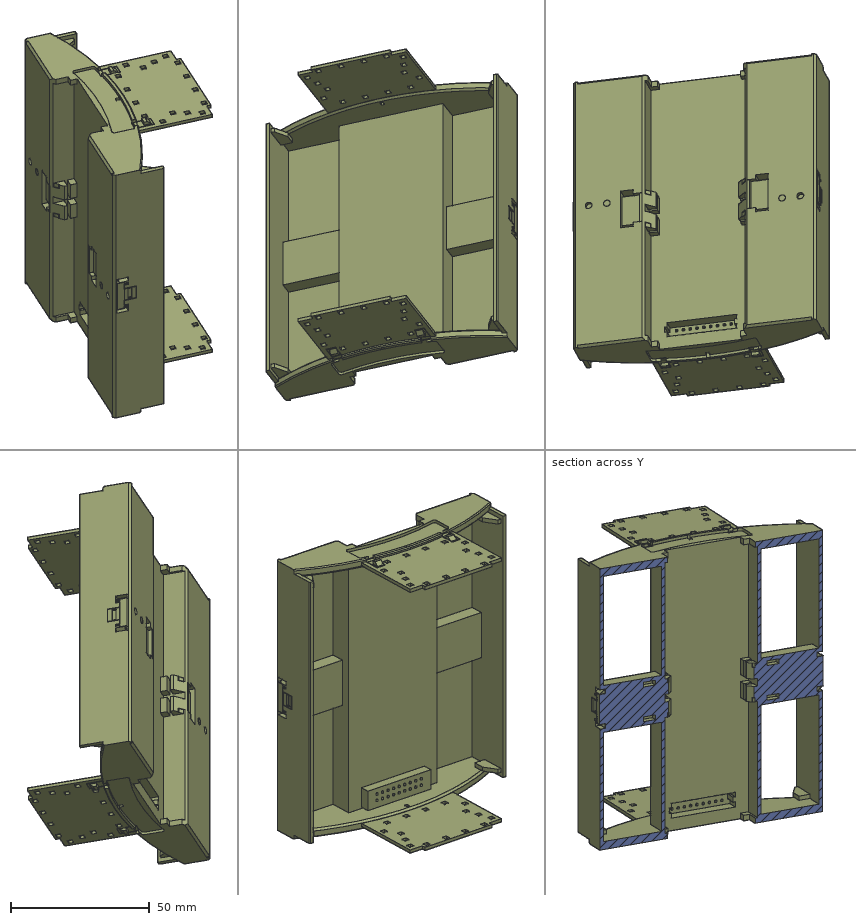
import cadquery as cq
import math


LENGTH = 107.6
HALF_LENGTH = LENGTH / 2
HALF_WIDTH = 45.2
WALL = 1.6
SIDE_WALL_TOP = 19.6
EDGE_BEVEL = 0.9
BACK_BEVEL = 0.3

CHANNEL_HALF = 18.6
CHANNEL_FLOOR = 9.0

END_WALL = 3.2
END_FLANGE = 2.2
SIDE_WALL_SETBACK = 1.6
FLANGE_HALF = 17.8
LIP_HALF = 15.4
LIP_BOTTOM = 6.5
ARC_RADIUS = 99.9
ARC_TOP = 21.3
ARC_CENTRE = ARC_TOP - ARC_RADIUS
ARC_OUTER_CHAMFER = 0.4
ARC_INNER_CHAMFER = 0.8

GUSSET_TOP = 18.3
GUSSET_TOP_WIDTH = 1.3
GUSSET_WIDTH = 4.5
GUSSET_THICKNESS = 1.6

BOARD_DEPTH = 1.1
BOARD_THICKNESS = 1.3
BOARD_HALF = 21.0
BOARD_TOP = 48.9
BOARD_SHOULDER = 47.2
SQUARE_HOLE = 1.8
ROW_PITCH = 8.8
HOLE_ROWS = (47.0, 24.1)
SIDE_HOLES = ((18.6, 44.3), (16.8, 39.3), (15.0, 34.3), (18.6, 29.0))

RECESS_HALF = 20.5
RECESS_TOP = 19.7
RECESS_BOTTOM = 11.3
RECESS_CORNER = 0.9
NOTCH_WIDTH = 1.2
NOTCH_HEIGHT = 1.6

TAB_INNER = 15.4
TAB_OUTER = 19.0
TAB_BOTTOM = 18.2
TAB_TOP = 25.6
TAB_RECESS = 0.2
BUMP_OUTER = 18.2
BUMP_TOP = 24.9
BUMP_CREST = 23.2
BUMP_BOTTOM = 22.1

LATCH_HALF = 7.4
SLIDER_HALF = 5.8
LATCH_BLOCK_HALF = 9.0
LATCH_BLOCK_HEIGHT = 7.0
JAW_INNER_Z = 1.4
JAW_TIP = 15.4
JAW_TIP_BOTTOM = 4.1
JAW_TOP = 5.3
JAW_STEP = 0.4
JAW_STEP_END = 17.0
POCKET_OUTER = 27.4
POCKET_STEP = 22.8
POCKET_INNER = 20.5
POCKET_DEPTH = 1.6
POCKET_SLOT_DEPTH = 4.3
SLIDER_FACE_DEPTH = 0.1

SLIDER_PROUD = 0.3
SLIDER_BOTTOM = 1.3
SLIDER_TOP = 4.1
PRONG_TOP = 5.7
PRONG_Z = 4.8
PRONG_THICKNESS = 0.6
SIDE_SLOT_DEPTH = 2.2
SIDE_RAMP_BOTTOM = 2.3
GRIP_HALF = 2.6
GRIP_TOP = 8.8
GRIP_DEPTH = 0.3
GRIP_CENTRE_HALF = 2.2
GRIP_CENTRE_TOP = 7.2
GRIP_CENTRE_DEPTH = 1.0

HOLE_DIAMETER = 2.5
HOLE_OUTER_X = 39.4
HOLE_INNER_X = 32.6
HOLE_Z = 3.2
HOLE_OUTER_DEPTH = 1.3
HOLE_INNER_DEPTH = 0.1

PIN_PITCH = 2.54
PIN_COLUMNS = 9
PIN_HOLE = 1.0
PIN_ROW_CENTRE = -45.9
SOCKET_LEFT = -12.6
SOCKET_RIGHT = 13.3
SOCKET_BOTTOM = -49.0
SOCKET_TOP = -43.4
SOCKET_DEPTH = 4.3
SOCKET_MARGIN = 1.1
KEY_BOTTOM = -47.0
KEY_TOP = -45.1
KEY_WIDTH = 0.9


def box(x0, x1, y0, y1, z0, z1):
    """Block between two opposite corners."""
    return cq.Workplane("XY").box(x1 - x0, y1 - y0, z1 - z0, centered=False).translate((x0, y0, z0))


def prism(points, z0, z1):
    """Polygon in X and Y, extruded from z0 to z1."""
    return cq.Workplane("XY").workplane(offset=z0).polyline(points).close().extrude(z1 - z0)


def arc_height(x, radius):
    """Y on a circle about the common centre of the end wall curves."""
    return ARC_CENTRE + math.sqrt(radius**2 - x**2)


def mirrored(points):
    """Outline points for the negative X half, followed by their mirror images."""
    return points + [(-x, y) for x, y in reversed(points)]


def both_sides(shape):
    return shape.union(shape.mirror("YZ"))


def both_ends(shape):
    return shape.union(shape.mirror("XY"))


def make_tray():
    """Bent sheet that forms the side walls, the front boxes and the rail channel; open at the back."""
    half = [
        (-HALF_WIDTH + WALL, SIDE_WALL_TOP),
        (-HALF_WIDTH + BACK_BEVEL, SIDE_WALL_TOP),
        (-HALF_WIDTH, SIDE_WALL_TOP - BACK_BEVEL),
        (-HALF_WIDTH, EDGE_BEVEL),
        (-HALF_WIDTH + EDGE_BEVEL, 0),
        (-CHANNEL_HALF - EDGE_BEVEL, 0),
        (-CHANNEL_HALF, EDGE_BEVEL),
        (-CHANNEL_HALF, CHANNEL_FLOOR),
    ]
    inner = [
        (CHANNEL_HALF + WALL, CHANNEL_FLOOR + WALL),
        (CHANNEL_HALF + WALL, WALL),
        (HALF_WIDTH - WALL, WALL),
    ]
    points = mirrored(half) + [(x, y) for x, y in reversed(inner)] + [(-x, y) for x, y in inner]
    reach = HALF_LENGTH - SIDE_WALL_SETBACK
    return prism(points, -reach, reach)


def make_end_wall():
    """Arched wall closing the +Z end, with flanges that narrow the rail channel."""
    shoulder = arc_height(HALF_WIDTH, ARC_RADIUS)
    wall = (
        cq.Workplane("XY")
        .workplane(offset=HALF_LENGTH - END_WALL)
        .moveTo(HALF_WIDTH, shoulder)
        .threePointArc((0, ARC_TOP), (-HALF_WIDTH, shoulder))
        .lineTo(-HALF_WIDTH, EDGE_BEVEL)
        .lineTo(-HALF_WIDTH + EDGE_BEVEL, 0)
        .lineTo(-CHANNEL_HALF - EDGE_BEVEL, 0)
        .lineTo(-FLANGE_HALF, CHANNEL_HALF + EDGE_BEVEL - FLANGE_HALF)
        .lineTo(-FLANGE_HALF, LIP_BOTTOM)
        .lineTo(-LIP_HALF, LIP_BOTTOM)
        .lineTo(-LIP_HALF, CHANNEL_FLOOR)
        .lineTo(LIP_HALF, CHANNEL_FLOOR)
        .lineTo(LIP_HALF, LIP_BOTTOM)
        .lineTo(FLANGE_HALF, LIP_BOTTOM)
        .lineTo(FLANGE_HALF, CHANNEL_HALF + EDGE_BEVEL - FLANGE_HALF)
        .lineTo(CHANNEL_HALF + EDGE_BEVEL, 0)
        .lineTo(HALF_WIDTH - EDGE_BEVEL, 0)
        .lineTo(HALF_WIDTH, EDGE_BEVEL)
        .close()
        .extrude(END_WALL)
    )
    wall = wall.faces(">Z").edges("%CIRCLE").chamfer(ARC_OUTER_CHAMFER)
    wall = wall.faces("<Z").edges("%CIRCLE").chamfer(ARC_INNER_CHAMFER)
    flange_relief = box(
        -CHANNEL_HALF, CHANNEL_HALF, 0, CHANNEL_FLOOR, HALF_LENGTH - END_WALL, HALF_LENGTH - END_FLANGE
    )
    front_bevel = (
        cq.Workplane("YZ")
        .polyline([(0, HALF_LENGTH - EDGE_BEVEL), (0, HALF_LENGTH), (EDGE_BEVEL, HALF_LENGTH)])
        .close()
        .extrude(HALF_WIDTH - WALL, both=True)
    )
    return wall.cut(flange_relief).cut(front_bevel)


def make_gussets():
    """Triangular ribs inside the corners at the +Z end."""
    inside = -HALF_WIDTH + WALL
    foot = inside + GUSSET_WIDTH
    base = arc_height(HALF_WIDTH, ARC_RADIUS) - WALL
    points = [
        (inside, base),
        (foot, base),
        (foot, arc_height(foot, ARC_RADIUS)),
        (inside + GUSSET_TOP_WIDTH, GUSSET_TOP),
        (inside, GUSSET_TOP),
    ]
    top = HALF_LENGTH - END_WALL
    return both_sides(prism(points, top - GUSSET_THICKNESS, top))


def make_board_blank():
    """Plain board at the +Z end; its lower edge follows the arch of the end wall."""
    corner = arc_height(BOARD_HALF, ARC_RADIUS)
    return (
        cq.Workplane("XY")
        .workplane(offset=HALF_LENGTH - BOARD_DEPTH - BOARD_THICKNESS)
        .moveTo(-BOARD_HALF, corner)
        .threePointArc((0, ARC_TOP), (BOARD_HALF, corner))
        .lineTo(BOARD_HALF, BOARD_SHOULDER)
        .lineTo(TAB_INNER, BOARD_SHOULDER)
        .lineTo(TAB_INNER, BOARD_TOP)
        .lineTo(-TAB_INNER, BOARD_TOP)
        .lineTo(-TAB_INNER, BOARD_SHOULDER)
        .lineTo(-BOARD_HALF, BOARD_SHOULDER)
        .close()
        .extrude(BOARD_THICKNESS)
    )


def make_recess():
    """Curved recess in the outer face of the +Z end wall, which leaves a narrow rim along the arch."""
    top_corner = arc_height(RECESS_HALF, RECESS_TOP - ARC_CENTRE)
    bottom_corner = arc_height(RECESS_HALF, RECESS_BOTTOM - ARC_CENTRE)
    return (
        cq.Workplane("XY")
        .workplane(offset=HALF_LENGTH - BOARD_DEPTH)
        .moveTo(-RECESS_HALF, bottom_corner)
        .threePointArc((0, RECESS_BOTTOM), (RECESS_HALF, bottom_corner))
        .lineTo(RECESS_HALF, top_corner)
        .threePointArc((0, RECESS_TOP), (-RECESS_HALF, top_corner))
        .close()
        .extrude(BOARD_DEPTH)
        .edges("|Z")
        .fillet(RECESS_CORNER)
    )


def make_centre_notch():
    """Small square opening through the end wall, at the top of the recess."""
    half = NOTCH_WIDTH / 2
    return box(-half, half, RECESS_TOP - NOTCH_HEIGHT, RECESS_TOP, HALF_LENGTH - END_WALL, HALF_LENGTH)


def make_tab_gaps():
    """Gaps in the rim for the two snap tabs, sunk slightly below the board face."""
    floor = HALF_LENGTH - BOARD_DEPTH - TAB_RECESS
    return both_sides(box(-TAB_OUTER, -TAB_INNER, TAB_BOTTOM, TAB_TOP, floor, HALF_LENGTH))


def make_board():
    """Perforated board at the +Z end, with two snap bumps behind the rim."""
    spots = [(x * ROW_PITCH, y) for x in (-1.5, -0.5, 0.5, 1.5) for y in HOLE_ROWS]
    spots += [(side * x, y) for side in (-1, 1) for x, y in SIDE_HOLES]
    holes = (
        cq.Workplane("XY")
        .workplane(offset=HALF_LENGTH - BOARD_DEPTH - BOARD_THICKNESS)
        .pushPoints(spots)
        .rect(SQUARE_HOLE, SQUARE_HOLE)
        .extrude(BOARD_THICKNESS)
    )
    tab_face = HALF_LENGTH - BOARD_DEPTH - TAB_RECESS
    bump = (
        cq.Workplane("YZ")
        .workplane(offset=-BUMP_OUTER)
        .polyline([
            (BUMP_TOP, tab_face),
            (BUMP_CREST, HALF_LENGTH),
            (BUMP_BOTTOM, HALF_LENGTH),
            (BUMP_BOTTOM, tab_face),
        ])
        .close()
        .extrude(BUMP_OUTER - TAB_INNER)
    )
    board = make_board_blank().cut(holes).cut(make_tab_gaps())
    return board.union(both_sides(bump))


def jaw_outline(inset, reach):
    """Sloped jaw section on the -X side, with the slope moved inwards by inset."""
    root = CHANNEL_HALF + EDGE_BEVEL
    slope_rise = JAW_TIP_BOTTOM / (root - JAW_TIP)
    return [
        (-root, inset),
        (-reach, inset + slope_rise * (root - reach)),
        (-reach, JAW_TOP),
        (-root, JAW_TOP),
    ]


def make_jaws():
    """Four hooks that reach into the rail channel, stepped at their corners, and the lips above them."""
    main = prism(jaw_outline(0, JAW_TIP), JAW_INNER_Z, SLIDER_HALF)
    corner = prism(jaw_outline(JAW_STEP, JAW_STEP_END), SLIDER_HALF, LATCH_HALF)
    tip = prism(jaw_outline(0, JAW_TIP), SLIDER_HALF, LATCH_HALF)
    tip = tip.intersect(box(-JAW_STEP_END, -JAW_TIP, 0, JAW_TOP, SLIDER_HALF, LATCH_HALF))
    lip = box(-CHANNEL_HALF, -LIP_HALF, LIP_BOTTOM, CHANNEL_FLOOR, JAW_INNER_Z, LATCH_HALF)
    return both_sides(both_ends(main.union(corner).union(tip).union(lip)))


def make_latch_blocks():
    """Solid material around the latch at each side, with the slider end proud of the side wall."""
    side = -HALF_WIDTH
    proud = side - SLIDER_PROUD
    block_start = side + EDGE_BEVEL
    block_end = -CHANNEL_HALF - EDGE_BEVEL
    block = box(block_start, block_end, 0, LATCH_BLOCK_HEIGHT, -LATCH_BLOCK_HALF, LATCH_BLOCK_HALF)
    plate = box(proud, side, SLIDER_BOTTOM, SLIDER_TOP, -SLIDER_HALF, SLIDER_HALF)
    half = PRONG_THICKNESS / 2
    prong = box(proud, side, SLIDER_TOP, PRONG_TOP, PRONG_Z - half, PRONG_Z + half)
    return both_sides(block.union(plate).union(both_ends(prong)))


def make_latch_cuts():
    """Front pockets, side slots and finger grips of the two latches."""
    side = -HALF_WIDTH
    pocket = box(-POCKET_OUTER, -POCKET_INNER, 0, POCKET_DEPTH, -SLIDER_HALF, SLIDER_HALF)
    pocket_slot = box(-POCKET_OUTER, -POCKET_STEP, 0, POCKET_SLOT_DEPTH, SLIDER_HALF, LATCH_HALF)
    slider_face = box(
        -POCKET_INNER, -CHANNEL_HALF - EDGE_BEVEL, 0, SLIDER_FACE_DEPTH, -SLIDER_HALF, SLIDER_HALF
    )
    slot_end = side + SIDE_SLOT_DEPTH
    side_slot = box(side, slot_end, SLIDER_BOTTOM, SIDE_RAMP_BOTTOM, SLIDER_HALF, LATCH_HALF)
    side_ramp = (
        cq.Workplane("XZ", origin=(0, PRONG_TOP, 0))
        .polyline([(side, SLIDER_HALF), (slot_end, LATCH_HALF), (side, LATCH_HALF)])
        .close()
        .extrude(PRONG_TOP - SIDE_RAMP_BOTTOM)
    )
    grip = box(side, side + GRIP_DEPTH, SLIDER_TOP, GRIP_TOP, -GRIP_HALF, GRIP_HALF)
    grip_centre = box(
        side, side + GRIP_CENTRE_DEPTH, PRONG_TOP, GRIP_CENTRE_TOP, -GRIP_CENTRE_HALF, GRIP_CENTRE_HALF
    )
    slots = both_ends(pocket_slot.union(side_slot).union(side_ramp))
    return both_sides(pocket.union(slider_face).union(slots).union(grip).union(grip_centre))


def make_front_holes():
    """Blind round holes; the pair on the +X side is the -X pair turned half a turn about Y."""
    holes = cq.Workplane("XY")
    for side in (-1, 1):
        for x, depth in ((HOLE_OUTER_X, HOLE_OUTER_DEPTH), (HOLE_INNER_X, HOLE_INNER_DEPTH)):
            centre = cq.Vector(side * x, 0, -side * HOLE_Z)
            holes = holes.add(cq.Solid.makeCylinder(HOLE_DIAMETER / 2, depth, centre, cq.Vector(0, 1, 0)))
    return holes.combine()


def make_socket_boss():
    """Box behind the channel floor that holds the connector socket."""
    return box(
        SOCKET_LEFT - KEY_WIDTH - SOCKET_MARGIN,
        SOCKET_RIGHT + SOCKET_MARGIN,
        CHANNEL_FLOOR,
        CHANNEL_FLOOR + SOCKET_DEPTH + SOCKET_MARGIN,
        SOCKET_BOTTOM - SOCKET_MARGIN,
        SOCKET_TOP + SOCKET_MARGIN,
    )


def make_socket():
    """Keyed recess with a slot on its -X side, a rib on its +X side and two rows of pin holes."""
    floor = CHANNEL_FLOOR + SOCKET_DEPTH
    recess = box(SOCKET_LEFT, SOCKET_RIGHT, CHANNEL_FLOOR, floor, SOCKET_BOTTOM, SOCKET_TOP)
    key_slot = box(SOCKET_LEFT - KEY_WIDTH, SOCKET_LEFT, CHANNEL_FLOOR, floor, KEY_BOTTOM, KEY_TOP)
    key_rib = box(SOCKET_RIGHT - KEY_WIDTH, SOCKET_RIGHT, CHANNEL_FLOOR, floor, KEY_BOTTOM, KEY_TOP)
    pin_holes = (
        cq.Workplane("XZ", origin=(0, floor, PIN_ROW_CENTRE))
        .rarray(PIN_PITCH, PIN_PITCH, PIN_COLUMNS, 2)
        .circle(PIN_HOLE / 2)
        .extrude(-SOCKET_MARGIN)
    )
    return recess.union(key_slot).cut(key_rib).union(pin_holes)


def make_housing():
    end_wall = make_end_wall().union(make_gussets())
    end_cuts = make_recess().union(make_centre_notch()).union(make_tab_gaps())
    housing = make_tray().union(both_ends(end_wall))
    housing = housing.union(make_latch_blocks()).union(make_jaws()).union(make_socket_boss())
    housing = housing.cut(both_ends(end_cuts)).cut(make_latch_cuts())
    return housing.cut(make_front_holes()).cut(make_socket())


housing = make_housing()
boards = [make_board(), make_board().mirror("XY")]

result = cq.Compound.makeCompound([housing.val(), *[board.val() for board in boards]])